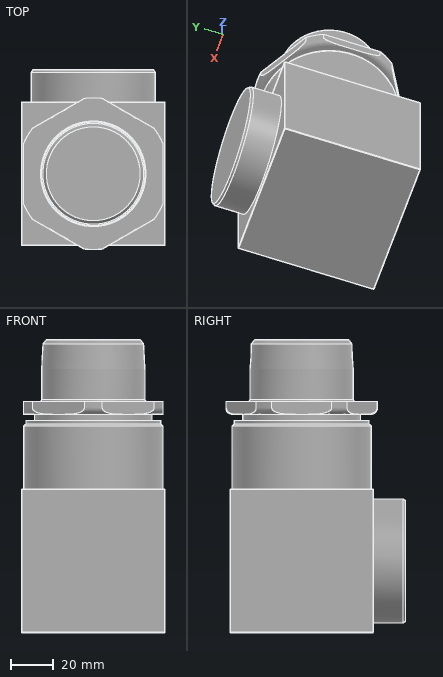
import cadquery as cq

cube_side = 67.0
cube_edge_chamfer = 0.3

cap_radius = 58.0 / 2
cap_length = 15.0
cap_chamfer_length = 1.2
cap_chamfer_depth = 0.8

barrel_radius = 65.0 / 2
barrel_chamfer_bottom = 96.4
barrel_chamfer_top = 97.3
lip_radius = 63.0 / 2
lip_top = 99.0

neck_radius = 55.0 / 2
hex_bottom = 101.8
hex_top = 107.8
hex_across_flats = 65.0
hex_corner_radius = 35.4
hex_corner_fillet = 3.0
spigot_radius = 48.3 / 2
collar_radius = 24.6
collar_top = 108.7
taper_bottom = 122.9
taper_top = 134.6
taper_top_radius = 23.5
tip_radius = 21.9
spigot_top = 136.7


def revolved(profile):
    """Turn a list of (radius, height) points around the vertical axis."""
    return cq.Workplane("XZ").polyline(profile).close().revolve(360, (0, 0, 0), (0, 1, 0))


def make_cube():
    cube = cq.Workplane("XY").box(cube_side, cube_side, cube_side, centered=(True, True, False))
    return cube.edges().chamfer(cube_edge_chamfer)


def make_rear_cap():
    profile = [
        (0, 0),
        (cap_radius, 0),
        (cap_radius, cap_length - cap_chamfer_length),
        (cap_radius - cap_chamfer_depth, cap_length),
        (0, cap_length),
    ]
    lying = revolved(profile).rotate((0, 0, 0), (1, 0, 0), -90)
    return lying.translate((0, cube_side / 2, cube_side / 2))


def make_barrel():
    return revolved([
        (0, cube_side),
        (barrel_radius, cube_side),
        (barrel_radius, barrel_chamfer_bottom),
        (lip_radius, barrel_chamfer_top),
        (lip_radius, lip_top),
        (0, lip_top),
    ])


def make_hexagon():
    """Hexagon with flats facing +X and -X, its corners turned round and filleted below."""
    height = hex_top - hex_bottom
    prism = (
        cq.Workplane("XY", origin=(0, 0, hex_bottom))
        .polygon(6, hex_across_flats, circumscribed=True)
        .extrude(height)
    )
    turned = (
        cq.Workplane("XY", origin=(0, 0, hex_bottom))
        .circle(hex_corner_radius)
        .extrude(height)
        .faces("<Z")
        .edges()
        .fillet(hex_corner_fillet)
    )
    return prism.intersect(turned)


def make_adapter():
    core = revolved([
        (0, lip_top),
        (neck_radius, lip_top),
        (neck_radius, hex_top),
        (collar_radius, hex_top),
        (spigot_radius, collar_top),
        (spigot_radius, taper_bottom),
        (taper_top_radius, taper_top),
        (tip_radius, spigot_top),
        (0, spigot_top),
    ])
    return core.union(make_hexagon())


cube = make_cube()
rear_cap = make_rear_cap()
barrel = make_barrel()
adapter = make_adapter()

result = cq.Compound.makeCompound([cube.val(), rear_cap.val(), barrel.val(), adapter.val()])